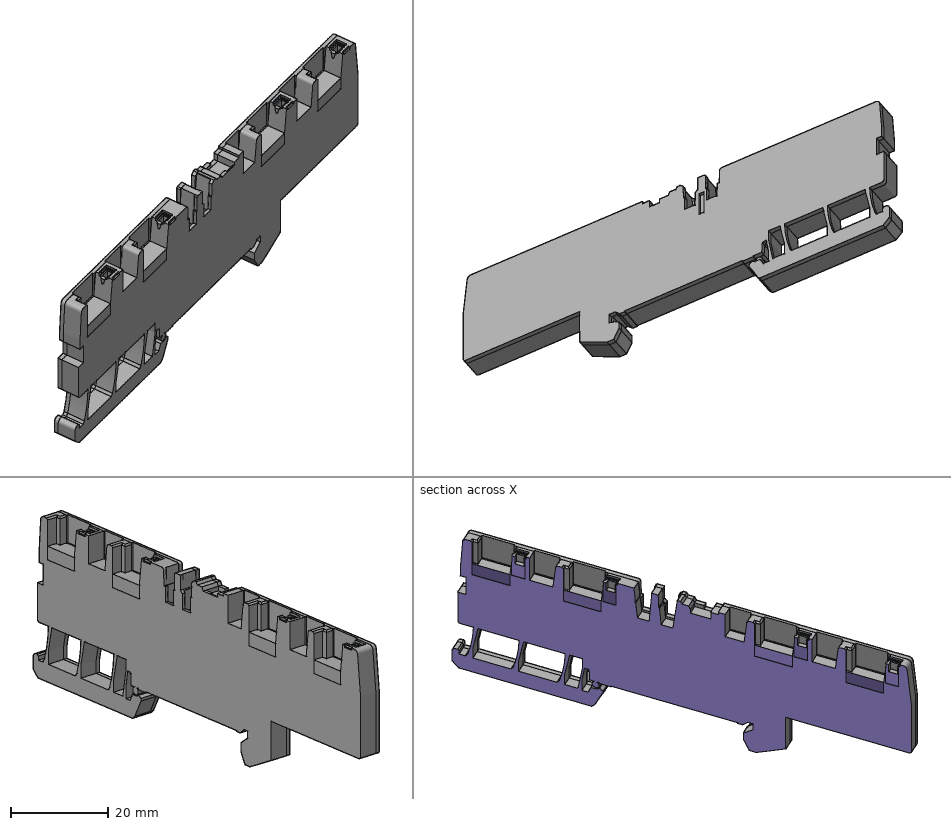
import cadquery as cq


WIDTH = 5.1
LENGTH = 102.67
TOP = 36.15
COVER_THICKNESS = 0.95
SIDE_WALL = 0.75

BLOCK_BOTTOM = 12.4
RAIL_FACE = 7.1
FRONT_END = 1.3
FRONT_NOTCH = (3.1, 21.0, 25.6)
UPPER_FRONT_END = 1.85
UPPER_FRONT_TOP = 28.1
FRONT_TOP_Y = 2.4
BACK_TOP_Y = 101.65
BACK_LEAN_START = 26.2
CORNER = 0.6
TOP_CORNER = 1.0

HOOK_BACK = 74.6
HOOK_TIP_Y = 65.1
HOOK_TIP_TOP = 4.85
HOOK_BOTTOM = 0.35
HOOK_WALL = 67.2
HOOK_THROAT = 6.45
HOOK_ROOF = 8.0
COVER_HOOK_WALL = 67.5
RAIL_PAD = 0.2
HOOK_PAD = (63.8, 64.9)
LATCH_PAD = (32.8, 35.5)

LATCH_BACK = 29.1
FOOT_BACK = 33.8
FOOT_TIP_INNER = 1.65
FOOT_CHAMFER = 1.5
LATCH_GROOVE_FLOOR = 3.75
LATCH_GROOVE_TOP = 9.95
FOOT_FLOOR = 4.0
FOOT_TIP_TOP = 5.2
TIP_ROUND = 0.9
LEG_STARTS = (26.4, 16.1, 5.9)
LEG_THICKNESS = 1.15
FIRST_LEG_THICKNESS = 1.0
LEG_OVERLAP = 0.2
LEG_TOP = BLOCK_BOTTOM + LEG_OVERLAP

FRONT_SLOT = (41.5, 44.0)
BACK_SLOT = (46.8, 49.3)
FRONT_SLOT_MOUTH = (40.9, 44.6)
TAB_BACK = 46.2
BRIDGE_FLOOR = 28.2
SLOT_FLOOR = 28.75
SLOT_STEP = 32.2

SEAT_STEP = 35.55
SEAT_FLOOR = 34.75
SEAT_START = 57.8
SEAT_END = 53.3
BLOCK_STEP_Y = 59.5
SEAT_ROOM_FLOOR = 33.75
SEAT_WALL_SLOPE = 0.5

TERMINAL_PITCH = 20.4
FIRST_TERMINALS = (96.4, 33.3)
TERMINALS = [y - i * TERMINAL_PITCH for y in FIRST_TERMINALS for i in range(2)]
POST_LENGTH = 4.5
MIDDLE_BLOCK_END = 61.1
WIRE_ENTRY_ENDS = (TERMINALS[1] + POST_LENGTH, MIDDLE_BLOCK_END, TERMINALS[3] + POST_LENGTH)
WIRE_ENTRIES = list(zip(TERMINALS, WIRE_ENTRY_ENDS))
POST_DRAFT = 0.7
GAP_LENGTH = 7.2
NOTCH_START_X = 2.75
NOTCH_LENGTH = 1.15
NOTCH_CHAMFER = 0.35
CREST_LENGTH = 3.0
CREST_DRAFT = 0.6
CREST_ROUND = 0.8
GAP_FLOOR = 30.0
BUTTON_DEPTH = 3.0

WELL_X = 2.8
WELL_WIDTH = 1.9
WELL_FRONT = 0.45
WELL_BACK = 3.35
MOUTH_MARGIN = 0.3
MOUTH_DEPTH = 0.5
CONTACT_DROP = 0.8
CONTACT_TOP = TOP - CONTACT_DROP
CONTACT_BOTTOM = GAP_FLOOR
CONTACT_SLOT_WIDTH = 1.2
CONTACT_SLOT_FRONT = 1.2
CONTACT_SLOT_BACK = 3.1
CONTACT_SLOT_DEPTH = 2.0
POST_STEP_X = 4.7
POST_STEP_DEPTH = 0.5

COVER_RIM = 0.62
SEAT_NOTCH = (55.4, SEAT_START)
SLIT = (44.65, 45.9)
SLIT_HEIGHT = (25.6, 31.4)
SLIT_DEPTH = 0.6
SLIT_DRAFT = 0.35

NECK_CENTRE = (32.1, 6.35)
NECK_RADIUS = 0.85


def plate(points, x_start, x_end):
    """Prism with the given YZ outline between two X positions."""
    return cq.Workplane("YZ", origin=(x_start, 0, 0)).polyline(points).close().extrude(x_end - x_start)


def box(x_range, y_range, z_range):
    """Box between pairs of limits."""
    (x0, x1), (y0, y1), (z0, z1) = x_range, y_range, z_range
    return cq.Workplane("XY").box(x1 - x0, y1 - y0, z1 - z0, centered=False).translate((x0, y0, z0))


def round_edges(solid, radii, x):
    """Round the X edges that pass through the (Y, Z) keys of radii."""
    for (y, z), radius in radii.items():
        solid = solid.edges(cq.selectors.NearestToPointSelector((x, y, z))).fillet(radius)
    return solid


def rail_points():
    """Outline of the underside from the hook to the end of the rail body."""
    pad_low, pad_high = HOOK_PAD
    latch_low, latch_high = LATCH_PAD
    pad_face = RAIL_FACE - RAIL_PAD
    return [
        (HOOK_BACK, BLOCK_BOTTOM), (HOOK_BACK, 3.7), (68.0, HOOK_BOTTOM), (66.4, HOOK_BOTTOM),
        (HOOK_TIP_Y, 2.9), (HOOK_TIP_Y, HOOK_TIP_TOP), (HOOK_WALL, HOOK_THROAT), (HOOK_WALL, HOOK_ROOF),
        (66.1, HOOK_ROOF), (pad_high, pad_face), (pad_low, pad_face), (pad_low, RAIL_FACE),
        (latch_high, RAIL_FACE), (latch_high, pad_face), (latch_low, pad_face), (latch_low, RAIL_FACE),
        (30.75, RAIL_FACE), (30.6, 9.7), (30.3, LATCH_GROOVE_TOP), (29.7, LATCH_GROOVE_TOP),
        (LATCH_BACK, 10.5),
    ]


def side_outline(x_start, x_end):
    """Full side shape: block, fixed rail hook and latch foot with its open windows."""
    notch_y, notch_bottom, notch_top = FRONT_NOTCH
    front_low, front_high = FRONT_SLOT
    back_low, back_high = BACK_SLOT
    mouth_low, mouth_high = FRONT_SLOT_MOUTH
    front_points = [
        (LATCH_BACK, BLOCK_BOTTOM), (FRONT_END, BLOCK_BOTTOM), (FRONT_END, notch_bottom),
        (notch_y, notch_bottom), (notch_y, notch_top), (UPPER_FRONT_END, notch_top),
        (UPPER_FRONT_END, UPPER_FRONT_TOP), (FRONT_TOP_Y, TOP),
    ]
    bridge_points = [
        (mouth_low, TOP), (41.0, SLOT_STEP), (front_low, SLOT_STEP), (front_low, SLOT_FLOOR),
        (front_high, SLOT_FLOOR), (front_high, SLOT_STEP), (44.3, SLOT_STEP), (44.3, 35.9),
        (mouth_high, TOP), (TAB_BACK, TOP), (TAB_BACK, 32.8), (back_low, SLOT_STEP),
        (back_low, SLOT_FLOOR), (back_high, SLOT_FLOOR), (back_high, SLOT_STEP), (49.6, SLOT_STEP),
        (49.7, SEAT_STEP),
    ]
    seat_points = [
        (50.4, TOP), (51.1, TOP), (51.5, SEAT_STEP), (52.9, SEAT_STEP), (SEAT_END, SEAT_FLOOR),
        (SEAT_START, SEAT_FLOOR), (SEAT_START, SEAT_STEP), (BLOCK_STEP_Y, SEAT_STEP), (BLOCK_STEP_Y, TOP),
    ]
    back_points = [(BACK_TOP_Y, TOP), (LENGTH, BACK_LEAN_START), (LENGTH, BLOCK_BOTTOM)]
    block = plate(
        front_points + bridge_points + seat_points + back_points + rail_points(), x_start, x_end
    )
    rounded = {
        (FRONT_END, BLOCK_BOTTOM): CORNER, (LENGTH, BLOCK_BOTTOM): CORNER, (mouth_low, TOP): CORNER,
        (FRONT_TOP_Y, TOP): TOP_CORNER, (BACK_TOP_Y, TOP): TOP_CORNER,
    }
    block = round_edges(block, rounded, (x_start + x_end) / 2)
    return block.union(foot(x_start, x_end))


def foot(x_start, x_end):
    """Latch foot with the four sprung legs that carry it."""
    bar_points = [
        (31.2, 0), (FOOT_CHAMFER, 0), (0, FOOT_CHAMFER), (0, FOOT_TIP_TOP), (1.3, FOOT_TIP_TOP),
        (FOOT_TIP_INNER, 4.9), (FOOT_TIP_INNER, FOOT_FLOOR), (LATCH_BACK, FOOT_FLOOR),
        (LATCH_BACK, LATCH_GROOVE_FLOOR), (30.4, LATCH_GROOVE_FLOOR), (31.1, 5.3), (32.4, 5.3),
        (33.0, 5.7), (FOOT_BACK, FOOT_TIP_TOP), (FOOT_BACK, 4.6), (31.9, 0.7),
    ]
    bar = plate(bar_points, x_start, x_end)
    bar = round_edges(bar, {(0, FOOT_TIP_TOP): TIP_ROUND}, (x_start + x_end) / 2)
    leg_bottom = FOOT_FLOOR - LEG_OVERLAP
    first_leg_front = LATCH_BACK - FIRST_LEG_THICKNESS
    first_leg = [
        (29.7, 10.2), (LATCH_BACK, LEG_TOP), (LATCH_BACK, 9.8), (first_leg_front, FOOT_FLOOR),
        (first_leg_front, leg_bottom), (LATCH_BACK, leg_bottom), (LATCH_BACK, 6.5),
    ]
    legs = plate(first_leg, x_start, x_end)
    for y in LEG_STARTS:
        leg = (
            cq.Workplane("YZ", origin=(x_start, y, 0))
            .moveTo(0, LEG_TOP)
            .lineTo(-LEG_THICKNESS, LEG_TOP)
            .threePointArc((-1.5, 8.6), (-2.45, 4.6))
            .lineTo(-2.9, FOOT_FLOOR)
            .lineTo(-2.9, leg_bottom)
            .lineTo(-LEG_THICKNESS, leg_bottom)
            .lineTo(-LEG_THICKNESS, 6.8)
            .close()
            .extrude(x_end - x_start)
        )
        legs = legs.union(leg)
    return bar.union(legs)


def well(y, z_start, z_end, margin=0.0):
    """Round-fronted prism that fills the well of the post at y, widened by a margin."""
    radius = WELL_WIDTH / 2 + margin
    back = y + WELL_BACK + margin
    front = y + WELL_FRONT - margin
    return (
        cq.Workplane("XY", origin=(0, 0, z_start))
        .moveTo(WELL_X - radius, back)
        .lineTo(WELL_X - radius, front + radius)
        .threePointArc((WELL_X, front), (WELL_X + radius, front + radius))
        .lineTo(WELL_X + radius, back)
        .close()
        .extrude(z_end - z_start)
    )


def gap_prism(y, z_start, z_end):
    """L-shaped prism of the space between a post and its crest."""
    crest = y - GAP_LENGTH
    wide = box((COVER_THICKNESS, WIDTH), (crest, y), (z_start, z_end))
    return wide.union(box((NOTCH_START_X, WIDTH), (crest - NOTCH_LENGTH, crest), (z_start, z_end)))


def terminal_cut(y):
    """Room for one button and one contact, with the slopes around the gap."""
    crest = y - GAP_LENGTH
    cut = gap_prism(y, GAP_FLOOR - BUTTON_DEPTH, TOP)
    slope = [(y, GAP_FLOOR), (y, TOP), (y + POST_DRAFT, TOP)]
    cut = cut.union(plate(slope, COVER_THICKNESS, WIDTH))
    for x, edge in ((COVER_THICKNESS, crest), (NOTCH_START_X - NOTCH_CHAMFER, crest - NOTCH_LENGTH)):
        bevel = [(edge, TOP), (edge - NOTCH_CHAMFER, TOP), (edge, TOP - NOTCH_CHAMFER)]
        cut = cut.union(plate(bevel, x, WIDTH))
    side_bevel = (
        cq.Workplane("XZ", origin=(0, crest, 0))
        .moveTo(NOTCH_START_X, TOP)
        .lineTo(NOTCH_START_X - NOTCH_CHAMFER, TOP)
        .lineTo(NOTCH_START_X, TOP - NOTCH_CHAMFER)
        .close()
        .extrude(NOTCH_LENGTH)
    )
    cut = cut.union(side_bevel)
    cut = cut.union(well(y, CONTACT_BOTTOM, TOP))
    cut = cut.union(well(y, TOP - MOUTH_DEPTH, TOP, MOUTH_MARGIN))
    step_y = (y + CONTACT_SLOT_FRONT, y + WELL_BACK)
    return cut.union(box((POST_STEP_X, WIDTH), step_y, (TOP - POST_STEP_DEPTH, TOP)))


def wire_pocket(y, y_end):
    """Wire entry from the crest of the terminal at y down to y_end; its crest edge is rounded."""
    top_edge = y - GAP_LENGTH - CREST_LENGTH
    round_centre = top_edge + CREST_ROUND
    pocket = plate([
        (round_centre, TOP), (y_end, TOP), (y_end, GAP_FLOOR), (top_edge - CREST_DRAFT, GAP_FLOOR),
        (top_edge, TOP - CREST_ROUND),
    ], COVER_THICKNESS, WIDTH)
    rounding = (
        cq.Workplane("YZ", origin=(COVER_THICKNESS, round_centre, TOP - CREST_ROUND))
        .circle(CREST_ROUND).extrude(WIDTH - COVER_THICKNESS)
    )
    return pocket.cut(rounding)


def bridge_rooms():
    """Drafted rooms between the cover and the +X wall inside the two bridge slots."""
    front_low, front_high = FRONT_SLOT
    back_low, back_high = BACK_SLOT
    front_room = [(40.7, TOP), (front_low, BRIDGE_FLOOR), (front_high, BRIDGE_FLOOR), (44.6, TOP)]
    back_room = [(46.1, TOP), (back_low, BRIDGE_FLOOR), (back_high, BRIDGE_FLOOR), (50.3, TOP)]
    wall = WIDTH - SIDE_WALL
    return plate(front_room, COVER_THICKNESS, wall).union(plate(back_room, COVER_THICKNESS, wall))


def seat_room():
    """Room below the marker seat, with a sloping inner face on the +X wall beside the cover notch."""
    wall = WIDTH - SIDE_WALL
    room = box((COVER_THICKNESS, wall), (SEAT_END, SEAT_START), (SEAT_ROOM_FLOOR, SEAT_FLOOR))
    notch_start, notch_end = SEAT_NOTCH
    slope = (
        cq.Workplane("XZ", origin=(0, notch_end, 0))
        .moveTo(wall, SEAT_ROOM_FLOOR)
        .lineTo(wall + SEAT_WALL_SLOPE, SEAT_FLOOR)
        .lineTo(wall, SEAT_FLOOR)
        .close()
        .extrude(notch_end - notch_start)
    )
    return room.union(slope)


def make_housing():
    housing = side_outline(COVER_THICKNESS, WIDTH)
    for y in TERMINALS:
        housing = housing.cut(terminal_cut(y))
    for y, y_end in WIRE_ENTRIES:
        housing = housing.cut(wire_pocket(y, y_end))
    housing = housing.cut(bridge_rooms())
    housing = housing.cut(seat_room())
    neck = cq.Workplane("YZ", origin=(COVER_THICKNESS, *NECK_CENTRE))
    return housing.union(neck.circle(NECK_RADIUS).extrude(WIDTH - COVER_THICKNESS))


def hook_relief():
    """Sliver by which the cover stands back from the housing's hook."""
    return plate([
        (HOOK_WALL, HOOK_ROOF), (COVER_HOOK_WALL, HOOK_ROOF), (COVER_HOOK_WALL, 5.6), (66.3, 5.3),
        (HOOK_TIP_Y, 4.6), (HOOK_TIP_Y, HOOK_TIP_TOP), (HOOK_WALL, HOOK_THROAT),
    ], 0, COVER_THICKNESS)


def slit():
    """Blind upright slit in the cover below the tab between the bridge slots."""
    y_start, y_end = SLIT
    bottom, top = SLIT_HEIGHT
    outline = [(0, y_start), (SLIT_DEPTH, y_start + SLIT_DRAFT), (SLIT_DEPTH, y_end), (0, y_end)]
    return cq.Workplane("XY", origin=(0, 0, bottom)).polyline(outline).close().extrude(top - bottom)


def make_cover():
    cover = side_outline(0, COVER_THICKNESS)
    rim_x = (COVER_RIM, COVER_THICKNESS)
    for y in TERMINALS:
        cover = cover.cut(box(rim_x, (y - GAP_LENGTH, y), (GAP_FLOOR, TOP)))
    for y, y_end in WIRE_ENTRIES:
        crest_end = y - GAP_LENGTH - CREST_LENGTH
        cover = cover.cut(box(rim_x, (y_end, crest_end), (GAP_FLOOR, TOP)))
    cover = cover.cut(box((0, COVER_THICKNESS), SEAT_NOTCH, (SEAT_ROOM_FLOOR, SEAT_FLOOR)))
    cover = cover.cut(hook_relief())
    return cover.cut(slit())


def make_button(y):
    return gap_prism(y, GAP_FLOOR - BUTTON_DEPTH, GAP_FLOOR)


def make_contact(y):
    contact = well(y, CONTACT_BOTTOM, CONTACT_TOP)
    slot_x = (WELL_X - CONTACT_SLOT_WIDTH / 2, WELL_X + CONTACT_SLOT_WIDTH / 2)
    slot_y = (y + CONTACT_SLOT_FRONT, y + CONTACT_SLOT_BACK)
    return contact.cut(box(slot_x, slot_y, (CONTACT_TOP - CONTACT_SLOT_DEPTH, CONTACT_TOP)))


housing = make_housing()
cover = make_cover()
buttons = [make_button(y) for y in TERMINALS]
contacts = [make_contact(y) for y in TERMINALS]
result = cq.Compound.makeCompound(
    [housing.val(), cover.val()] + [b.val() for b in buttons] + [c.val() for c in contacts]
)